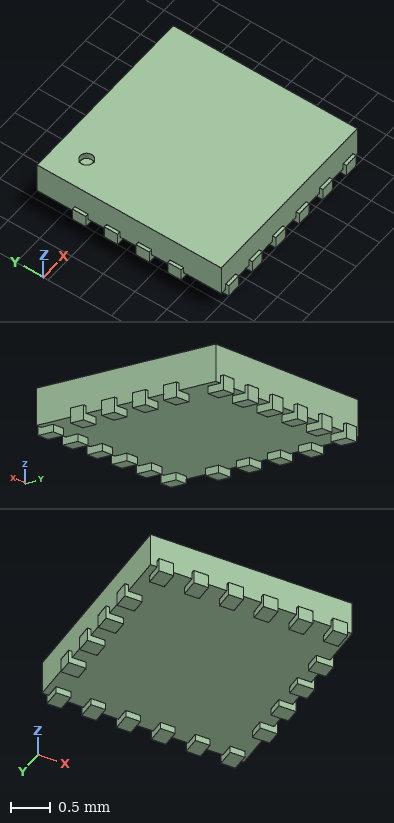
import cadquery as cq

OVERALL_SIZE = 3.0
OVERALL_HEIGHT = 0.6
TERMINAL_PROTRUSION = 0.05
STANDOFF = 0.1
BODY_SIZE = OVERALL_SIZE - 2 * TERMINAL_PROTRUSION
BODY_HEIGHT = OVERALL_HEIGHT - STANDOFF

TERMINAL_PITCH = 0.5
TERMINAL_WIDTH = 0.21
TERMINAL_LENGTH = 0.25
TERMINAL_HEIGHT = 0.2
TERMINALS_ALONG_X = 6
TERMINALS_ALONG_Y = 4

MARKER_DIAMETER = 0.2
MARKER_DEPTH = 0.1
MARKER_OFFSET = 1.0


def make_body():
    """Square moulded body, raised above the seating plane by the standoff."""
    return (
        cq.Workplane("XY")
        .workplane(offset=STANDOFF)
        .rect(BODY_SIZE, BODY_SIZE)
        .extrude(BODY_HEIGHT)
    )


def terminal_positions(count):
    """Evenly pitched positions centred on zero."""
    return [(i - (count - 1) / 2) * TERMINAL_PITCH for i in range(count)]


def make_terminals(centers, size_x, size_y):
    """Rectangular terminals standing on the seating plane."""
    return (
        cq.Workplane("XY")
        .pushPoints(centers)
        .rect(size_x, size_y)
        .extrude(TERMINAL_HEIGHT)
    )


def cut_marker(body):
    """Round blind recess in the top face at the -X, +Y corner."""
    marker = (
        cq.Workplane("XY")
        .workplane(offset=OVERALL_HEIGHT - MARKER_DEPTH)
        .center(-MARKER_OFFSET, MARKER_OFFSET)
        .circle(MARKER_DIAMETER / 2)
        .extrude(MARKER_DEPTH)
    )
    return body.cut(marker)


result = cut_marker(make_body())

row_offset = (OVERALL_SIZE - TERMINAL_LENGTH) / 2
for side in (-1, 1):
    y_side_centers = [(x, side * row_offset) for x in terminal_positions(TERMINALS_ALONG_X)]
    x_side_centers = [(side * row_offset, y) for y in terminal_positions(TERMINALS_ALONG_Y)]
    result = result.union(make_terminals(y_side_centers, TERMINAL_WIDTH, TERMINAL_LENGTH))
    result = result.union(make_terminals(x_side_centers, TERMINAL_LENGTH, TERMINAL_WIDTH))